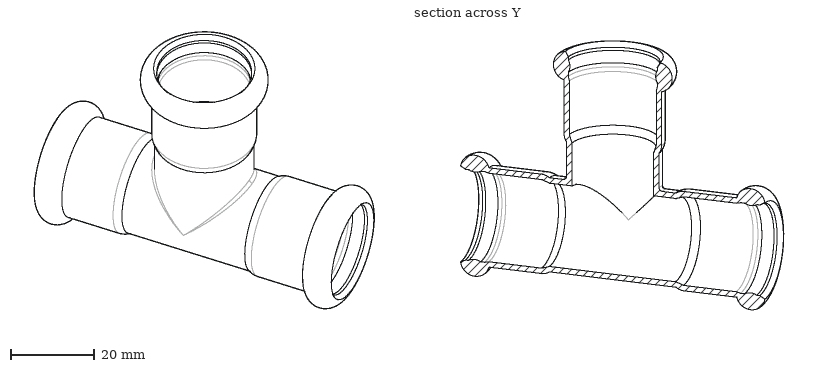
import cadquery as cq

run_length = 78.6
branch_height = 44.5
run_reach = run_length / 2

wall = 1.5
body_radius = 21.0 / 2 + wall
bore_radius = body_radius - wall
socket_bore_radius = 22.3 / 2
sleeve_radius = socket_bore_radius + wall

bead_width = 7.4
bead_crest_depth = bead_width / 2
sleeve_depth = 21.0
body_start_depth = 23.0

bead_radius = 30.8 / 2
mouth_radius = 12.2
land_radius = 22.9 / 2
front_land_depth = 1.3
seal_start_depth = 2.1
seal_end_depth = 5.3
rear_land_end_depth = 6.3
socket_bore_depth = bead_width
seal_radius = 11.0

shoulder_sag = 0.25

crotch_fillet = 0.8


def shoulder_middle(large_radius, small_radius):
    """Radius halfway along the rounded shoulder."""
    return large_radius - shoulder_sag * (large_radius - small_radius)


def arm_outside(reach):
    """Solid of revolution about Z, from the origin up to the mouth at `reach`."""
    shoulder_mid_depth = (sleeve_depth + body_start_depth) / 2
    return (
        cq.Workplane("XZ")
        .lineTo(body_radius, 0)
        .lineTo(body_radius, reach - body_start_depth)
        .threePointArc(
            (shoulder_middle(sleeve_radius, body_radius), reach - shoulder_mid_depth),
            (sleeve_radius, reach - sleeve_depth),
        )
        .lineTo(sleeve_radius, reach - bead_width)
        .threePointArc((bead_radius, reach - bead_crest_depth), (mouth_radius, reach))
        .lineTo(0, reach)
        .close()
        .revolve(360, (0, 0), (0, 1))
    )


def arm_inside(reach):
    """Bore, socket, seal ring and flared mouth of one arm, about Z."""
    seal_mid_depth = (seal_start_depth + seal_end_depth) / 2
    return (
        cq.Workplane("XZ")
        .lineTo(bore_radius, 0)
        .lineTo(bore_radius, reach - body_start_depth)
        .lineTo(socket_bore_radius, reach - sleeve_depth)
        .lineTo(socket_bore_radius, reach - socket_bore_depth)
        .lineTo(land_radius, reach - rear_land_end_depth)
        .lineTo(land_radius, reach - seal_end_depth)
        .threePointArc((seal_radius, reach - seal_mid_depth), (land_radius, reach - seal_start_depth))
        .lineTo(land_radius, reach - front_land_depth)
        .lineTo(mouth_radius, reach)
        .lineTo(0, reach)
        .close()
        .revolve(360, (0, 0), (0, 1))
    )


def tee(make_arm):
    """Join the branch arm with the two opposite run arms."""
    branch = make_arm(branch_height)
    run_arm = make_arm(run_reach)
    shape = branch
    for angle in (-90, 90):
        shape = shape.union(run_arm.rotate((0, 0, 0), (0, 1, 0), angle))
    return shape.clean()


crotch_box = cq.selectors.BoxSelector(
    (-body_radius, -body_radius, body_radius / 4),
    (body_radius, body_radius, body_radius),
)
outside = tee(arm_outside)
outside = outside.edges(crotch_box).fillet(crotch_fillet)

result = outside.cut(tee(arm_inside))